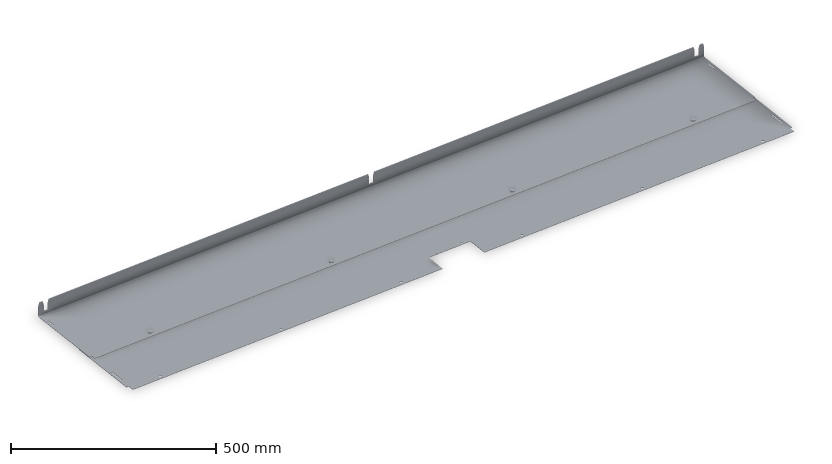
import cadquery as cq

LENGTH = 1980.0
WIDTH = 392.0
HEIGHT = 44.0
THICKNESS = 2.0
END_Y = LENGTH / 2

BASE_TOP = THICKNESS
COVER_TOP = BASE_TOP + THICKNESS

CORNER_CUT_DEPTH = 7.0
END_SLOT_WIDTH = 4.0
END_SLOT_INSET = 8.0

COVER_WIDTH = 230.0
BEND_OUTER_RADIUS = 4.0
BEND_INNER_RADIUS = BEND_OUTER_RADIUS - THICKNESS
COVER_CORNER_CUT_LENGTH = 12.0
COVER_END_SLOT_X = 44.0
COVER_END_SLOT_LENGTH = 25.0

WALL_SLOT_WIDTH = 12.7
WALL_SLOT_BOTTOM = 14.0
WALL_SLOT_END_OFFSET = 22.0
WALL_CHAMFER_WIDTH = 3.0
WALL_CHAMFER_HEIGHT = 10.9
WALL_CHAMFER_BOTTOM = HEIGHT - WALL_CHAMFER_HEIGHT

BASE_LEFT = 172.0
BASE_CORNER_CUT_LENGTH = 18.0
BASE_END_SLOT_X = 323.7
BASE_END_SLOT_LENGTH = 48.0

NOTCH_LEFT = WIDTH - 60.0
NOTCH_LENGTH = 125.0
NOTCH_CORNER_RADIUS = 5.0
NOTCH_HOLE_DIAMETER = 6.3
NOTCH_HOLE_X = NOTCH_LEFT - 4.0
NOTCH_HOLE_SPACING = 80.0

EDGE_HOLE_COUNT = 6
EDGE_HOLE_DIAMETER = 8.7
EDGE_HOLE_SPACING = 358.0
EDGE_HOLE_X = WIDTH - 8.0

PIN_COUNT = 4
PIN_SPACING = 538.0
PIN_X = 215.0
PIN_HEAD_DIAMETER = 11.0
PIN_HEAD_HEIGHT = 4.0
PIN_SHANK_DIAMETER = 5.5
PIN_SLOT_WIDTH = 8.7


def block(x_range, y_range, z_range):
    """A box between two X, two Y and two Z values."""
    sizes = [high - low for low, high in (x_range, y_range, z_range)]
    corner = (x_range[0], y_range[0], z_range[0])
    return cq.Workplane("XY").box(*sizes, centered=False).translate(corner)


def centered_range(center, size):
    return (center - size / 2, center + size / 2)


def cylinder(x, y, diameter, z_range):
    bottom, top = z_range
    return cq.Workplane("XY", origin=(x, y, bottom)).circle(diameter / 2).extrude(top - bottom)


def centered_row(count, spacing):
    """Evenly spaced positions, symmetric about zero."""
    return [(index - (count - 1) / 2) * spacing for index in range(count)]


BASE_LEVELS = (0, BASE_TOP)
COVER_LEVELS = (BASE_TOP, COVER_TOP)
PIN_YS = centered_row(PIN_COUNT, PIN_SPACING)


def cut_end_slots(sheet, slot_x, slot_length, levels):
    """Cut a narrow slot through the sheet near each of its two ends."""
    for y in centered_row(2, LENGTH - 2 * END_SLOT_INSET):
        x_range = centered_range(slot_x, slot_length)
        sheet = sheet.cut(block(x_range, centered_range(y, END_SLOT_WIDTH), levels))
    return sheet


def cut_right_corners(sheet, right_x, cut_length, levels):
    """Cut a small rectangle from the two corners at the right edge of the sheet."""
    for y in centered_row(2, LENGTH - CORNER_CUT_DEPTH):
        x_range = (right_x - cut_length, right_x)
        sheet = sheet.cut(block(x_range, centered_range(y, CORNER_CUT_DEPTH), levels))
    return sheet


def bent_sheet():
    """Flat sheet with an upright wall along its left edge."""
    sheet = (
        cq.Workplane("XZ", origin=(0, END_Y, 0))
        .moveTo(0, HEIGHT)
        .lineTo(0, BASE_TOP + BEND_OUTER_RADIUS)
        .radiusArc((BEND_OUTER_RADIUS, BASE_TOP), -BEND_OUTER_RADIUS)
        .lineTo(COVER_WIDTH, BASE_TOP)
        .lineTo(COVER_WIDTH, COVER_TOP)
        .lineTo(BEND_OUTER_RADIUS, COVER_TOP)
        .radiusArc((THICKNESS, COVER_TOP + BEND_INNER_RADIUS), BEND_INNER_RADIUS)
        .lineTo(THICKNESS, HEIGHT)
        .close()
        .extrude(LENGTH)
    )
    return sheet


def wall_slot(y):
    """Cutter for one slot, open at the top of the wall, with a chamfered mouth."""
    left, right = centered_range(y, WALL_SLOT_WIDTH)
    outline = [
        (left, WALL_SLOT_BOTTOM),
        (right, WALL_SLOT_BOTTOM),
        (right, WALL_CHAMFER_BOTTOM),
        (right + WALL_CHAMFER_WIDTH, HEIGHT),
        (left - WALL_CHAMFER_WIDTH, HEIGHT),
        (left, WALL_CHAMFER_BOTTOM),
    ]
    return cq.Workplane("YZ").polyline(outline).close().extrude(THICKNESS)


def wall_end_chamfer(side):
    """Cutter for the chamfered top corner at one end of the wall."""
    outline = [
        (side * END_Y, HEIGHT),
        (side * END_Y, WALL_CHAMFER_BOTTOM),
        (side * (END_Y - WALL_CHAMFER_WIDTH), HEIGHT),
    ]
    return cq.Workplane("YZ").polyline(outline).close().extrude(THICKNESS)


def make_cover():
    cover = bent_sheet()
    for y in centered_row(3, END_Y - WALL_SLOT_END_OFFSET):
        cover = cover.cut(wall_slot(y))
    for side in (-1, 1):
        cover = cover.cut(wall_end_chamfer(side))
    cover = cut_right_corners(cover, COVER_WIDTH, COVER_CORNER_CUT_LENGTH, COVER_LEVELS)
    cover = cut_end_slots(cover, COVER_END_SLOT_X, COVER_END_SLOT_LENGTH, COVER_LEVELS)
    for y in PIN_YS:
        cover = cover.cut(cylinder(PIN_X, y, PIN_SHANK_DIAMETER, COVER_LEVELS))
    return cover


def edge_notch():
    """Cutter for the notch, with its two inner corners rounded."""
    notch = block((NOTCH_LEFT, WIDTH), centered_range(0, NOTCH_LENGTH), BASE_LEVELS)
    return notch.edges("|Z and <X").fillet(NOTCH_CORNER_RADIUS)


def pin_slot(y):
    """Cutter for a slot from the left edge of the base sheet, with a round end at the pin."""
    straight = block((BASE_LEFT, PIN_X), centered_range(y, PIN_SLOT_WIDTH), BASE_LEVELS)
    return straight.union(cylinder(PIN_X, y, PIN_SLOT_WIDTH, BASE_LEVELS))


def make_base():
    base = block((BASE_LEFT, WIDTH), (-END_Y, END_Y), BASE_LEVELS)
    base = cut_right_corners(base, WIDTH, BASE_CORNER_CUT_LENGTH, BASE_LEVELS)
    base = base.cut(edge_notch())
    for y in centered_row(2, NOTCH_HOLE_SPACING):
        base = base.cut(cylinder(NOTCH_HOLE_X, y, NOTCH_HOLE_DIAMETER, BASE_LEVELS))
    for y in centered_row(EDGE_HOLE_COUNT, EDGE_HOLE_SPACING):
        base = base.cut(cylinder(EDGE_HOLE_X, y, EDGE_HOLE_DIAMETER, BASE_LEVELS))
    base = cut_end_slots(base, BASE_END_SLOT_X, BASE_END_SLOT_LENGTH, BASE_LEVELS)
    for y in PIN_YS:
        base = base.cut(pin_slot(y))
    return base


def make_pin(y):
    """Pin with its head on the cover sheet and its shank through both sheets."""
    shank = cylinder(PIN_X, y, PIN_SHANK_DIAMETER, (0, COVER_TOP))
    head = cylinder(PIN_X, y, PIN_HEAD_DIAMETER, (COVER_TOP, COVER_TOP + PIN_HEAD_HEIGHT))
    return shank.union(head)


cover = make_cover()
base = make_base()
pins = [make_pin(y) for y in PIN_YS]

bodies = [cover, base, *pins]
result = cq.Compound.makeCompound([body.solids().val() for body in bodies])